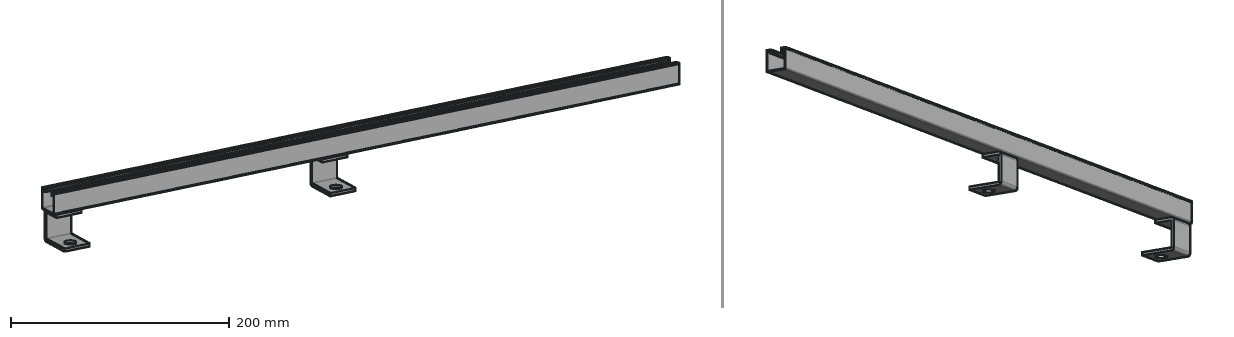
import cadquery as cq

rail_length = 673.0
rail_width = 21.0
rail_height = 21.0
rail_wall = 1.0
rail_bend_radius = 1.5
lip_width = 5.0
lip_drop = 3.5

overall_height = 52.5
bracket_reach = 35.0
bracket_width = 27.0
bracket_thickness = 3.0
bracket_bend_radius = 3.5
hole_diameter = 11.0
hole_x = 23.0
end_gap = 3.0
bracket_pitch = 286.0
bracket_count = 2

bracket_height = overall_height - rail_height


def box(x_size, y_size, z_size, x, y, z):
    """Box with its lowest corner at (x, y, z)."""
    return cq.Workplane("XY").box(x_size, y_size, z_size, centered=False).translate((x, y, z))


def make_rail():
    """Channel with rounded lower corners and lips that turn in and then down."""
    floor_z = bracket_height
    outer = box(rail_width, rail_length, rail_height, 0, 0, floor_z)
    outer = outer.edges("|Y and <Z").fillet(rail_bend_radius)
    inner_width = rail_width - 2 * rail_wall
    inner_height = rail_height - 2 * rail_wall
    cavity = box(inner_width, rail_length, inner_height, rail_wall, 0, floor_z + rail_wall)
    cavity = cavity.edges("|Y and <Z").fillet(rail_bend_radius - rail_wall)
    slot_width = rail_width - 2 * lip_width
    slot = box(slot_width, rail_length, rail_height, lip_width, 0, floor_z + rail_wall)
    rail = outer.cut(cavity).cut(slot)

    lip_z = overall_height - lip_drop
    for lip_x in (lip_width - rail_wall, rail_width - lip_width):
        rail = rail.union(box(rail_wall, rail_length, lip_drop, lip_x, 0, lip_z))
    return rail


def make_bracket(start_y):
    """Bracket with a top flange under the rail, an upright and a longer drilled foot."""
    strip = box(bracket_reach, bracket_width, bracket_height, 0, start_y, 0)
    strip = strip.edges("|Y and <X").fillet(bracket_bend_radius)
    gap_height = bracket_height - 2 * bracket_thickness
    gap = box(bracket_reach, bracket_width, gap_height, bracket_thickness, start_y, bracket_thickness)
    gap = gap.edges("|Y and <X").fillet(bracket_bend_radius - bracket_thickness)
    flange_trim = box(bracket_reach, bracket_width, bracket_height, rail_width, start_y, bracket_thickness)
    hole = (
        cq.Workplane("XY")
        .center(hole_x, start_y + bracket_width / 2)
        .circle(hole_diameter / 2)
        .extrude(bracket_thickness)
    )
    return strip.cut(gap).cut(flange_trim).cut(hole)


rail = make_rail()
brackets = [make_bracket(end_gap + i * bracket_pitch) for i in range(bracket_count)]

result = cq.Compound.makeCompound([rail.val(), *[bracket.val() for bracket in brackets]])